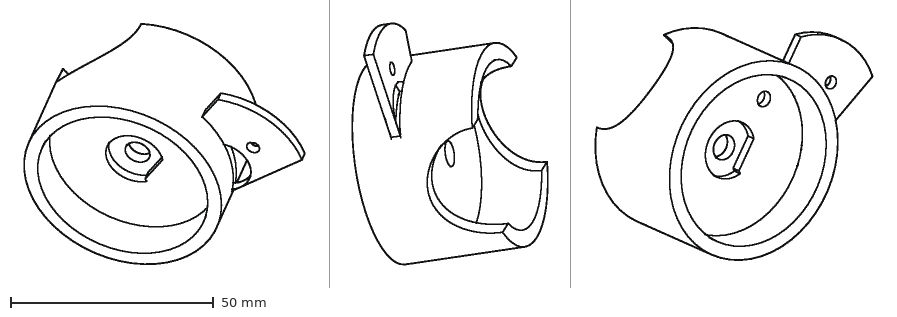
import cadquery as cq

housing_diameter = 50.83
housing_length = 31.67
front_bore_diameter = 43.75
rear_bore_diameter = 42.5
floor_hole_diameter = 6.35
front_bore_depth = 12.65
floor_thickness = 3.1

notch_radius = 14.25
notch_angle = 135.0

plate_thickness = 2.5
plate_diameter = front_bore_diameter
window_diameter = 14.8
latch_hole_diameter = 3.92
latch_hole_x = 10.27
latch_hole_z = 11.25

arm_center_x = 22.5
arm_center_z = 3.38
upper_edge_angle = 59.0
upper_edge_distance = 12.15
lower_edge_angle = 39.8
lower_edge_distance = 7.42
arm_hole_diameter = 3.25
arm_hole_x = 30.47
arm_hole_z = 11.67

plate_front = front_bore_depth - plate_thickness
floor_back = front_bore_depth + floor_thickness
block_size = 4 * plate_diameter


def rod(diameter, start, length, x=0.0, z=0.0):
    """Round bar along +Y, starting at y = start and centred on (x, z)."""
    return cq.Workplane("XZ", origin=(x, start, z)).circle(diameter / 2).extrude(-length)


def trimming_block(edge_angle, edge_distance, side):
    """Block whose one face is a straight edge of the arm, edge_distance from the arm centre.

    The block holds the arm centre. side is +1 for the upper edge and -1 for the lower one.
    """
    block = cq.Workplane("XY").box(block_size, block_size, block_size)
    block = block.translate((0, 0, side * (edge_distance - block_size / 2)))
    block = block.rotate((0, 0, 0), (0, 1, 0), -edge_angle)
    return block.translate((arm_center_x, 0, arm_center_z))


def make_arm_blank():
    """Trimmed arm without its holes; it is also the shape of the slot through the housing wall."""
    blank = rod(plate_diameter, plate_front, plate_thickness, arm_center_x, arm_center_z)
    blank = blank.intersect(trimming_block(upper_edge_angle, upper_edge_distance, 1))
    return blank.intersect(trimming_block(lower_edge_angle, lower_edge_distance, -1))


def make_shutter(arm_blank):
    disc = rod(plate_diameter, plate_front, plate_thickness)
    disc = disc.cut(rod(window_diameter, plate_front, plate_thickness))
    disc = disc.cut(rod(latch_hole_diameter, plate_front, plate_thickness, latch_hole_x, latch_hole_z))
    arm = arm_blank.cut(rod(window_diameter, plate_front, plate_thickness, arm_center_x, arm_center_z))
    arm = arm.cut(rod(arm_hole_diameter, plate_front, plate_thickness, arm_hole_x, arm_hole_z))
    return disc.union(arm)


def make_housing(arm_blank):
    body = rod(housing_diameter, 0, housing_length)
    body = body.cut(rod(front_bore_diameter, 0, front_bore_depth))
    body = body.cut(rod(rear_bore_diameter, floor_back, housing_length - floor_back))
    body = body.cut(rod(floor_hole_diameter, front_bore_depth, floor_thickness))
    notch = cq.Workplane("YZ").circle(notch_radius).extrude(housing_diameter, both=True)
    notch = notch.rotate((0, 0, 0), (0, 1, 0), -notch_angle).translate((0, housing_length, 0))
    body = body.cut(notch)
    return body.cut(arm_blank)


arm_blank = make_arm_blank()
shutter = make_shutter(arm_blank)
housing = make_housing(arm_blank)

result = cq.Compound.makeCompound([housing.solids().val(), shutter.solids().val()])